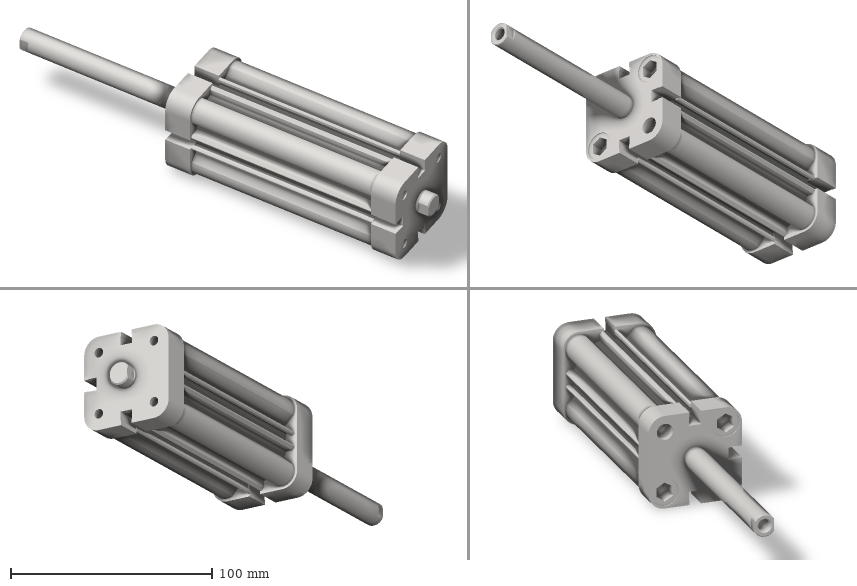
import cadquery as cq
import math


rod_length = 238.5
rod_overhang_front = 97.0
rod_overhang_rear = 7.2
cap_thickness = 14.3
front_cap_start = rod_overhang_front
tube_start = front_cap_start + cap_thickness
rear_cap_start = rod_length - rod_overhang_rear - cap_thickness
tube_length = rear_cap_start - tube_start

cap_width = 49.5
post_offset = 16.2
cap_corner_radius = cap_width / 2 - post_offset
slot_mouth_width = 6.2
slot_mouth_depth = 2.5
slot_inner_width = 6.7
slot_depth = 7.2

bolt_hole_diameter = 5.0
counterbore_diameter = 8.5
hex_across_flats = 8.8
socket_depth = 7.2
collar_diameter = 14.5
collar_depth = 0.5
corner_points = [(y * post_offset, z * post_offset) for y in (-1, 1) for z in (-1, 1)]
socket_points = [(y, z) for y, z in corner_points if y * z < 0]
counterbore_points = [(y, z) for y, z in corner_points if y * z > 0]

barrel_radius = 19.0
post_radius = 7.2
slope_top = 13.4
rail_outer = 5.2
rail_chamfer = 1.5
lip_inner = 2.6
lip_chamfer = 0.7
lip_underside = 21.2
groove_half_width = 4.0
groove_floor = 18.4
foot_fillet = 0.6

rod_diameter = 12.0
flat_spacing = 10.0
front_flat_length = 5.2
rear_flat_length = 6.0
front_chamfer = 0.35
rear_chamfer = 0.7
rod_bore_diameter = 6.2
rod_bore_depth = 14.3
rod_bore_chamfer = 0.7
drill_point_angle = 118.0


def plane_at(x):
    """Plane across the cylinder axis: local x is Y, local y is Z, normal along +X."""
    return cq.Workplane("YZ", origin=(x, 0, 0))


def quarter_turn(point, turns):
    """Turn a (y, z) point about the axis by a number of quarter turns."""
    y, z = point
    for _ in range(turns):
        y, z = -z, y
    return y, z


def radial_block(angle, inner, outer, width):
    """Block through any cap, between two distances from the axis, pointing from +Z turned about X."""
    block = plane_at(0).center(0, (inner + outer) / 2).rect(width, outer - inner).extrude(rod_length)
    return block.rotate((0, 0, 0), (1, 0, 0), angle)


def axial_holes(start, length, points, diameter):
    return plane_at(start).pushPoints(points).circle(diameter / 2).extrude(length)


def make_cap(start):
    """Rounded square cap with stepped slots on the +Z, -Y and -Z sides."""
    cap = plane_at(start).rect(cap_width, cap_width).extrude(cap_thickness)
    cap = cap.edges("|X").fillet(cap_corner_radius)
    face = cap_width / 2
    step = face - slot_mouth_depth
    for angle in (0, 90, 180):
        cap = cap.cut(radial_block(angle, step, face, slot_mouth_width))
        cap = cap.cut(radial_block(angle, face - slot_depth, step, slot_inner_width))
    cap = cap.cut(axial_holes(start, cap_thickness, corner_points, bolt_hole_diameter))
    return cap.cut(axial_holes(start, cap_thickness, [(0, 0)], rod_diameter))


def make_front_cap():
    """Cap with counterbores, and hexagon sockets inside shallow collar recesses."""
    cap = make_cap(front_cap_start)
    cap = cap.cut(axial_holes(front_cap_start, socket_depth, counterbore_points, counterbore_diameter))
    cap = cap.cut(axial_holes(front_cap_start, collar_depth, socket_points, collar_diameter))
    across_corners = hex_across_flats / math.cos(math.pi / 6)
    socket = plane_at(front_cap_start).polygon(6, across_corners).extrude(socket_depth)
    socket = socket.rotate((0, 0, 0), (1, 0, 0), 90)
    for y, z in socket_points:
        cap = cap.cut(socket.translate((0, y, z)))
    return cap


def make_tube():
    """Extrusion whose profile repeats every quarter turn; fillets soften the feet of slopes and rails."""
    half_width = post_offset + post_radius
    slope_top_z = post_offset + math.sqrt(post_radius**2 - (post_offset - slope_top) ** 2)
    rise = slope_top_z - slope_top
    slope_foot = (math.sqrt(2 * barrel_radius**2 - rise**2) - rise) / 2
    arc_middle = (slope_foot + rail_outer) / 2

    def both_sides(offset, turns):
        """Points on the barrel circle at an offset to each side of a groove."""
        height = math.sqrt(barrel_radius**2 - offset**2)
        return [quarter_turn((side * offset, height), turns) for side in (1, -1)]

    half_rail = [
        (rail_outer, half_width - rail_chamfer),
        (rail_outer - rail_chamfer, half_width),
        (lip_inner + lip_chamfer, half_width),
        (lip_inner, half_width - lip_chamfer),
        (lip_inner, lip_underside),
        (groove_half_width, lip_underside),
        (groove_half_width, groove_floor),
    ]
    rails = half_rail + [(-y, z) for y, z in reversed(half_rail)]
    post_tip = post_offset + post_radius / math.sqrt(2)

    profile = plane_at(tube_start).moveTo(slope_top, slope_top_z)
    feet = []
    for turns in range(4):
        slope_feet = both_sides(slope_foot, turns)
        rail_feet = both_sides(rail_outer, turns)
        middles = both_sides(arc_middle, turns)
        feet += slope_feet + rail_feet
        profile = profile.lineTo(*slope_feet[0]).threePointArc(middles[0], rail_feet[0])
        for point in rails:
            profile = profile.lineTo(*quarter_turn(point, turns))
        profile = profile.lineTo(*rail_feet[1]).threePointArc(middles[1], slope_feet[1])
        profile = profile.lineTo(*quarter_turn((-slope_top, slope_top_z), turns))
        profile = profile.threePointArc(
            quarter_turn((-post_tip, post_tip), turns), quarter_turn((-slope_top_z, slope_top), turns)
        )
    tube = profile.close().extrude(tube_length)

    middle_x = tube_start + tube_length / 2
    for y, z in feet:
        foot_edge = cq.selectors.NearestToPointSelector((middle_x, y, z))
        tube = tube.edges(foot_edge).fillet(foot_fillet)

    tube = tube.cut(axial_holes(tube_start, tube_length, corner_points, bolt_hole_diameter))
    return tube.cut(axial_holes(tube_start, tube_length, [(0, 0)], rod_diameter))


def make_rod():
    """Round rod with wrench flats at both ends and a chamfered blind bore in the front end."""
    rod = plane_at(0).circle(rod_diameter / 2).extrude(rod_length)
    rod = rod.faces("<X").chamfer(front_chamfer)
    rod = rod.faces(">X").chamfer(rear_chamfer)

    rear_flat_start = rod_length - rear_flat_length
    for start, length in ((0, front_flat_length), (rear_flat_start, rear_flat_length)):
        outside = plane_at(start).rect(2 * rod_diameter, 2 * rod_diameter).extrude(length)
        between_flats = plane_at(start).rect(flat_spacing, 2 * rod_diameter).extrude(length)
        rod = rod.cut(outside.cut(between_flats))

    bore_radius = rod_bore_diameter / 2
    point_length = bore_radius / math.tan(math.radians(drill_point_angle / 2))
    bore_outline = [
        (0, 0),
        (0, bore_radius + rod_bore_chamfer),
        (rod_bore_chamfer, bore_radius),
        (rod_bore_depth, bore_radius),
        (rod_bore_depth + point_length, 0),
    ]
    bore = cq.Workplane("XZ").polyline(bore_outline).close().revolve(360, (0, 0, 0), (1, 0, 0))
    return rod.cut(bore)


front_cap = make_front_cap()
tube = make_tube()
rear_cap = make_cap(rear_cap_start)
piston_rod = make_rod()

bodies = [front_cap, tube, rear_cap, piston_rod]
result = cq.Compound.makeCompound([body.solids().val() for body in bodies])